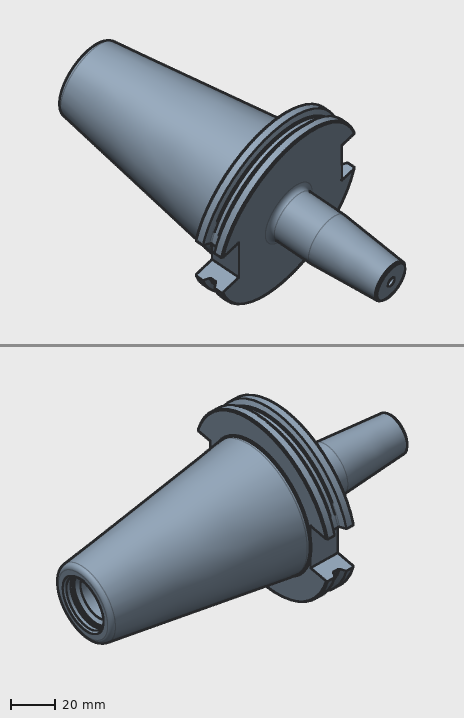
import cadquery as cq
import math

total_length = 181.6
gauge_x = 102.6
flange_start_x = 104.6
flange_end_x = 120.6
shank_taper_x = 143.8

taper_ratio = 7 / 24
gauge_diameter = 70.3
taper_end_round = 2.7
collar_flare = 0.5
taper_small_diameter = gauge_diameter - taper_ratio * gauge_x

flange_diameter = 97.3
flange_chamfer = 0.5
groove_diameter = 91.0
groove_floor_width = 3.3
groove_corner_radius = 0.7
groove_mouth_width = 6.9
groove_center_x = (flange_start_x + flange_end_x) / 2

slot_width = 26.2
slot_floor_back = 37.5
slot_floor_front = 35.0

shank_diameter = 27.0
shank_fillet = 2.9
nose_diameter = 21.2
nose_chamfer = 0.7

through_diameter = 4.9
mouth_diameter = 29.5
counterbore_diameter = 27.0
counterbore_wall_depth = 3.6
counterbore_cone_length = 0.9
counterbore_end_diameter = 26.2
counterbore_depth = 5.5
thread_diameter = 22.2
thread_depth = 40.0
bore_diameter = 20.0
bore_depth = 54.5
drill_point_angle = 118.0


def revolve_about_x(profile):
    return profile.close().revolve(360, (0, 0, 0), (1, 0, 0))


def make_taper():
    taper = revolve_about_x(
        cq.Workplane("XY")
        .lineTo(0, taper_small_diameter / 2)
        .lineTo(gauge_x, gauge_diameter / 2)
        .lineTo(flange_start_x - collar_flare, gauge_diameter / 2)
        .lineTo(flange_start_x, gauge_diameter / 2 + collar_flare)
        .lineTo(flange_start_x, 0)
    )
    return taper.faces("<X").edges().fillet(taper_end_round)


def make_groove():
    floor_half = groove_floor_width / 2
    mouth_half = groove_mouth_width / 2
    groove = revolve_about_x(
        cq.Workplane("XY")
        .moveTo(groove_center_x - floor_half, groove_diameter / 2)
        .lineTo(groove_center_x - mouth_half, flange_diameter / 2)
        .lineTo(groove_center_x - mouth_half, flange_diameter)
        .lineTo(groove_center_x + mouth_half, flange_diameter)
        .lineTo(groove_center_x + mouth_half, flange_diameter / 2)
        .lineTo(groove_center_x + floor_half, groove_diameter / 2)
    )
    floor_edges = cq.selectors.RadiusNthSelector(0)
    return groove.edges(floor_edges).fillet(groove_corner_radius)


def make_slot(side, floor_distance):
    """Slot cutter on one side of the flange; side is +1 for +Y and -1 for -Y."""
    flange_width = flange_end_x - flange_start_x
    cutter_depth = flange_diameter / 2
    center_y = side * (floor_distance + cutter_depth / 2)
    return (
        cq.Workplane("XY")
        .box(flange_width, cutter_depth, slot_width)
        .translate((groove_center_x, center_y, 0))
    )


def make_flange():
    flange_width = flange_end_x - flange_start_x
    flange = (
        cq.Workplane("YZ", origin=(flange_start_x, 0, 0))
        .circle(flange_diameter / 2)
        .extrude(flange_width)
        .edges()
        .chamfer(flange_chamfer)
    )
    return (
        flange.cut(make_groove())
        .cut(make_slot(1, slot_floor_back))
        .cut(make_slot(-1, slot_floor_front))
    )


def make_shank():
    shank_radius = shank_diameter / 2
    return revolve_about_x(
        cq.Workplane("XY")
        .moveTo(flange_end_x, 0)
        .lineTo(flange_end_x, shank_radius + shank_fillet)
        .radiusArc((flange_end_x + shank_fillet, shank_radius), -shank_fillet)
        .lineTo(shank_taper_x, shank_radius)
        .lineTo(total_length - nose_chamfer, nose_diameter / 2)
        .lineTo(total_length, nose_diameter / 2 - nose_chamfer)
        .lineTo(total_length, 0)
    )


def make_bore():
    mouth_chamfer = (mouth_diameter - counterbore_diameter) / 2
    thread_step = (counterbore_end_diameter - thread_diameter) / 2
    bore_step = (thread_diameter - bore_diameter) / 2
    cone_length = (bore_diameter - through_diameter) / 2 / math.tan(math.radians(drill_point_angle / 2))
    return revolve_about_x(
        cq.Workplane("XY")
        .lineTo(0, mouth_diameter / 2)
        .lineTo(mouth_chamfer, counterbore_diameter / 2)
        .lineTo(counterbore_wall_depth, counterbore_diameter / 2)
        .lineTo(counterbore_wall_depth + counterbore_cone_length, counterbore_end_diameter / 2)
        .lineTo(counterbore_depth, counterbore_end_diameter / 2)
        .lineTo(counterbore_depth + thread_step, thread_diameter / 2)
        .lineTo(thread_depth, thread_diameter / 2)
        .lineTo(thread_depth + bore_step, bore_diameter / 2)
        .lineTo(bore_depth, bore_diameter / 2)
        .lineTo(bore_depth + cone_length, through_diameter / 2)
        .lineTo(total_length, through_diameter / 2)
        .lineTo(total_length, 0)
    )


result = make_taper().union(make_flange()).union(make_shank()).cut(make_bore())